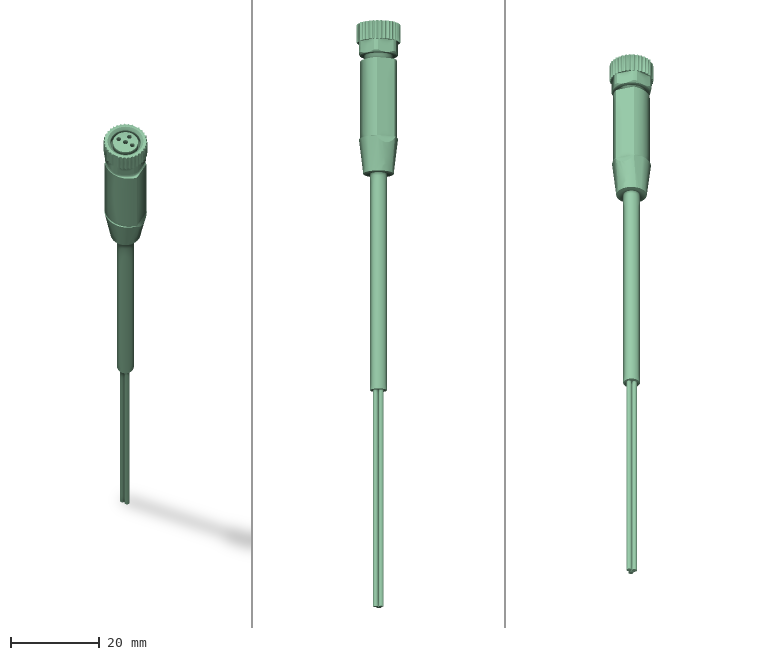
import cadquery as cq
import math

total_length = 134.4
body_bottom = 100.0
cable_bottom = 50.0
shoulder = 107.9
facet_bottom = 106.3
body_top = 126.0
nut_bottom = 127.3
grip_bottom = 130.2

cable_diameter = 3.8
wire_diameter = 1.15
wire_count = 3
wire_gap = 0.03
wire_embed = 1.3

flat_half_width = 2.2
body_half_x = 4.2
body_half_y = 4.0
collar_half_x = 4.8
collar_half_y = 4.3
facet_run = 0.4
boot_end_diameter = 6.9
neck_diameter = 6.5

nut_across_flats = 8.5
nut_corner_diameter = 9.3
nut_bottom_chamfer = 0.4
grip_diameter = 9.8
tooth_spaces = 34
tooth_half_width = 0.4
bore_diameter = 6.9
bore_depth = 2.0
countersink_diameter = 8.0

insert_recess = 0.4
insert_diameter = 5.6
insert_top = total_length - insert_recess
contact_diameter = 1.1
contact_radius = 1.7
contact_angles = (0, 90, 180)
contact_depth = 2.7
centre_hole_diameter = 1.15
centre_hole_depth = 1.3
drill_point_angle = 118


def cylinder(diameter, bottom, top):
    return cq.Workplane("XY", origin=(0, 0, bottom)).circle(diameter / 2).extrude(top - bottom)


def make_wires():
    """Wires bundled around the axis, almost touching one another."""
    pitch = wire_diameter + wire_gap
    ring_radius = pitch / 2 / math.sin(math.pi / wire_count)
    return (
        cq.Workplane("XY")
        .polarArray(ring_radius, 90, 360, wire_count)
        .circle(wire_diameter / 2)
        .extrude(cable_bottom + wire_embed)
    )


def make_body():
    """Straight grip with a flat on each side."""
    return (
        cq.Workplane("XY", origin=(0, 0, shoulder))
        .moveTo(-body_half_x, -flat_half_width)
        .threePointArc((0, -body_half_y), (body_half_x, -flat_half_width))
        .lineTo(body_half_x, flat_half_width)
        .threePointArc((0, body_half_y), (-body_half_x, flat_half_width))
        .close()
        .extrude(body_top - shoulder)
    )


def boot_section(workplane, end_radius, half_y):
    """Round ends on the axis, joined by flatter arcs at the front and back."""
    corner_x = math.sqrt(end_radius**2 - flat_half_width**2)
    corner_y = flat_half_width
    return (
        workplane.moveTo(-corner_x, -corner_y)
        .threePointArc((0, -half_y), (corner_x, -corner_y))
        .threePointArc((end_radius, 0), (corner_x, corner_y))
        .threePointArc((0, half_y), (-corner_x, corner_y))
        .threePointArc((-end_radius, 0), (-corner_x, -corner_y))
        .close()
    )


def make_boot():
    """Tapered strain relief that narrows to a circle, with a sloping facet at the top of each side."""
    boot_end_radius = boot_end_diameter / 2
    boot_end = boot_section(
        cq.Workplane("XY", origin=(0, 0, body_bottom)), boot_end_radius, boot_end_radius
    )
    boot = boot_section(
        boot_end.workplane(offset=shoulder - body_bottom), collar_half_x, collar_half_y
    ).loft(ruled=True)
    facet = (
        cq.Workplane("XZ")
        .moveTo(body_half_x, shoulder)
        .lineTo(body_half_x + facet_run, facet_bottom)
        .lineTo(collar_half_x, facet_bottom)
        .lineTo(collar_half_x, shoulder)
        .close()
        .extrude(collar_half_y, both=True)
    )
    return boot.cut(facet).cut(facet.mirror("YZ"))


def make_teeth():
    """V-shaped grip teeth with 45 degree flanks; the two on the front and back corners are left out."""
    tooth_pitch = 360 / tooth_spaces
    tip_radius = grip_diameter / 2 / math.cos(math.radians(tooth_pitch / 2))
    root_radius = tip_radius - tooth_half_width
    tooth = (
        cq.Workplane("XY", origin=(0, 0, grip_bottom))
        .moveTo(root_radius, -tooth_half_width)
        .lineTo(tip_radius, 0)
        .lineTo(root_radius, tooth_half_width)
        .close()
        .extrude(total_length - grip_bottom)
    )
    teeth = cq.Workplane("XY")
    for i in range(tooth_spaces):
        on_corner = i % (tooth_spaces // 2) == tooth_spaces // 4
        if not on_corner:
            angle = (i + 0.5) * tooth_pitch
            teeth = teeth.add(tooth.rotate((0, 0, 0), (0, 0, 1), angle))
    return teeth.combine()


def make_nut():
    """Hexagon with rounded corners below a toothed grip, bored and countersunk from the top."""
    hexagon = (
        cq.Workplane("XY", origin=(0, 0, nut_bottom))
        .polygon(6, nut_across_flats, circumscribed=True)
        .extrude(total_length - nut_bottom)
    )
    lower = cylinder(nut_corner_diameter, nut_bottom, grip_bottom)
    lower = lower.faces("<Z").chamfer(nut_bottom_chamfer).intersect(hexagon)
    nut = lower.union(cylinder(nut_corner_diameter, grip_bottom, total_length)).union(make_teeth())
    nut = nut.cut(cylinder(bore_diameter, total_length - bore_depth, total_length))
    sink_depth = (countersink_diameter - bore_diameter) / 2
    sink = (
        cq.Workplane("XY", origin=(0, 0, total_length))
        .circle(countersink_diameter / 2)
        .workplane(offset=-sink_depth)
        .circle(bore_diameter / 2)
        .loft()
    )
    return nut.cut(sink)


def make_contact_holes():
    """Flat-bottomed contact sockets around a drilled centre hole."""
    holes = cq.Workplane("XY")
    for angle in contact_angles:
        x = contact_radius * math.cos(math.radians(angle))
        y = contact_radius * math.sin(math.radians(angle))
        socket = cylinder(contact_diameter, insert_top - contact_depth, insert_top)
        holes = holes.add(socket.translate((x, y, 0)))
    hole_radius = centre_hole_diameter / 2
    point = hole_radius / math.tan(math.radians(drill_point_angle / 2))
    centre_hole = (
        cq.Workplane("XZ")
        .moveTo(0, insert_top)
        .lineTo(hole_radius, insert_top)
        .lineTo(hole_radius, insert_top - centre_hole_depth)
        .lineTo(0, insert_top - centre_hole_depth - point)
        .close()
        .revolve(360, (0, 0, 0), (0, 1, 0))
    )
    return holes.add(centre_hole).combine()


cable = cylinder(cable_diameter, cable_bottom, body_bottom)
neck = cylinder(neck_diameter, body_top, nut_bottom)
insert = cylinder(insert_diameter, body_top, insert_top)

result = make_wires().union(cable).union(make_boot()).union(make_body())
result = result.union(neck).union(make_nut()).union(insert)
result = result.cut(make_contact_holes())